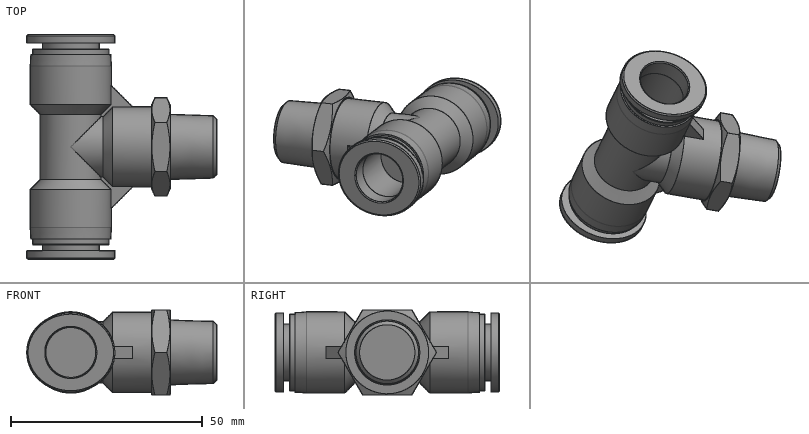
import cadquery as cq
import math

run_half_length = 29.3

neck_radius = 8.0
neck_half_length = 8.5
barrel_radius = 10.6
barrel_start = neck_half_length + barrel_radius - neck_radius
barrel_taper_start = 21.05
barrel_taper_radius = 10.45
lip_start = 24.0
lip_radius = 20.0 / 2
lip_end = 25.5
lip_chamfer = 0.2

branch_radius = 10.5
branch_cone_start = 8.45
branch_cone_end = branch_cone_start + branch_radius - neck_radius
branch_end = 21.0

gusset_reach = 26.55
gusset_thickness = 3.15

sleeve_radius = 14.8 / 2
bore_radius = 13.0 / 2
bore_chamfer = 0.3
sleeve_length = 5.1
bore_floor = barrel_start
flange_half_width = 11.5
flange_half_height = 10.3
flange_thickness = 2.3
flange_chamfer = 0.35

hex_across_flats = 22.2
hex_end = 25.95
hex_face_radius = 10.8
hex_bevel_length = 0.95
stub_end = 38.05
stub_base_radius = 8.5
stub_tip_radius = 8.15
stub_chamfer = 0.95


def revolve_about_x(points):
    """Solid of revolution from (x, radius) points."""
    return cq.Workplane("XY").polyline(points).close().revolve(360, (0, 0, 0), (1, 0, 0))


def revolve_about_y(points):
    """Solid of revolution from (radius, y) points."""
    return cq.Workplane("XY").polyline(points).close().revolve(360, (0, 0, 0), (0, 1, 0))


def make_run():
    upper_profile = [
        (neck_radius, neck_half_length),
        (barrel_radius, barrel_start),
        (barrel_radius, barrel_taper_start),
        (barrel_taper_radius, lip_start),
        (lip_radius, lip_start),
        (lip_radius, lip_end - lip_chamfer),
        (lip_radius - lip_chamfer, lip_end),
        (0, lip_end),
    ]
    lower_profile = [(radius, -y) for radius, y in reversed(upper_profile)]
    return revolve_about_y(upper_profile + lower_profile)


def make_branch():
    return revolve_about_x([
        (0, 0),
        (0, neck_radius),
        (branch_cone_start, neck_radius),
        (branch_cone_end, branch_radius),
        (branch_end, branch_radius),
        (branch_end, 0),
    ])


def make_gussets():
    """One symmetric plate whose visible corners are the two gussets."""
    x_at_branch = gusset_reach - branch_radius
    y_at_barrel = gusset_reach - barrel_radius
    return (
        cq.Workplane("XY")
        .polyline([
            (0, y_at_barrel),
            (barrel_radius, y_at_barrel),
            (x_at_branch, branch_radius),
            (x_at_branch, -branch_radius),
            (barrel_radius, -y_at_barrel),
            (0, -y_at_barrel),
        ])
        .close()
        .extrude(gusset_thickness / 2, both=True)
    )


def make_housing():
    """Tee body with a stepped tube socket in each end of the run."""
    housing = make_run().union(make_branch()).union(make_gussets())
    socket_floor = run_half_length - sleeve_length
    socket = revolve_about_y([
        (0, bore_floor),
        (bore_radius, bore_floor),
        (bore_radius, socket_floor),
        (sleeve_radius, socket_floor),
        (sleeve_radius, lip_end),
        (0, lip_end),
    ])
    return housing.cut(socket).cut(socket.mirror("XZ"))


def make_sleeve(end):
    """Flanged sleeve at the +Y end (end = 1) or the -Y end (end = -1)."""
    flange = (
        cq.Workplane("XZ", origin=(0, run_half_length, 0))
        .ellipse(flange_half_width, flange_half_height)
        .extrude(flange_thickness)
        .faces(">Y").edges().chamfer(flange_chamfer)
    )
    tube = cq.Workplane("XZ", origin=(0, run_half_length, 0)).circle(sleeve_radius).extrude(sleeve_length)
    sleeve_bottom = run_half_length - sleeve_length
    bore = revolve_about_y([
        (0, sleeve_bottom),
        (bore_radius, sleeve_bottom),
        (bore_radius, run_half_length - bore_chamfer),
        (bore_radius + bore_chamfer, run_half_length),
        (0, run_half_length),
    ])
    sleeve = flange.union(tube).cut(bore)
    return sleeve if end > 0 else sleeve.mirror("XZ")


def make_hex():
    corner_radius = hex_across_flats / math.sqrt(3)
    hexagon = (
        cq.Workplane("YZ", origin=(branch_end, 0, 0))
        .polygon(6, 2 * corner_radius)
        .extrude(hex_end - branch_end)
    )
    bevel_envelope = revolve_about_x([
        (branch_end, 0),
        (branch_end, hex_face_radius),
        (branch_end + hex_bevel_length, corner_radius),
        (hex_end - hex_bevel_length, corner_radius),
        (hex_end, hex_face_radius),
        (hex_end, 0),
    ])
    return hexagon.intersect(bevel_envelope)


def make_adapter():
    stub = revolve_about_x([
        (hex_end, 0),
        (hex_end, stub_base_radius),
        (stub_end - stub_chamfer, stub_tip_radius),
        (stub_end, stub_tip_radius - stub_chamfer),
        (stub_end, 0),
    ])
    return make_hex().union(stub)


housing = make_housing()
sleeves = [make_sleeve(end) for end in (1, -1)]
adapter = make_adapter()

result = cq.Compound.makeCompound([
    housing.val(),
    *[sleeve.val() for sleeve in sleeves],
    adapter.val(),
])